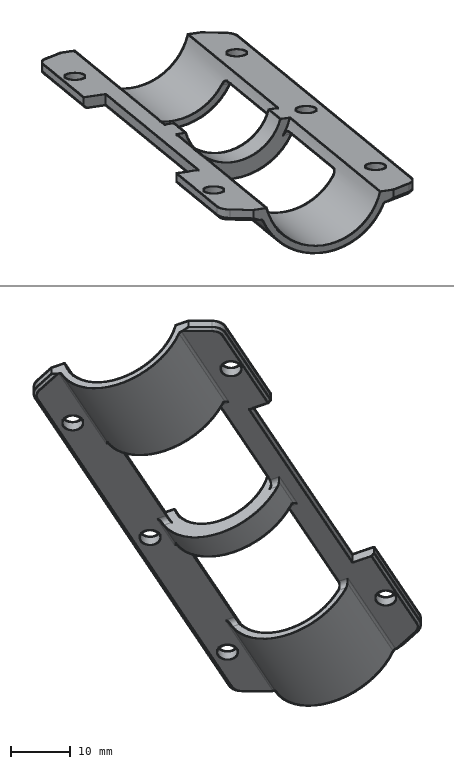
import cadquery as cq
import math

length = 83.0
width = 35.4
height = 9.5
flange_thickness = 2.0

outer_radius = 11.95
bore_radius = 10.6
axis_height = outer_radius - height

rib_width = 5.1
rib_bore_radius = 9.0
end_shell_length = 17.5
window_corner_radius = 1.0
root_fillet_radius = 0.5

corner_run = 2.4
corner_drop = 5.0
corner_radius = 2.5
bottom_chamfer = 0.5
notch_length = 40.0
notch_edge_y = -13.7

hole_diameter = 3.5
hole_spacing_x = 30.0
back_hole_y = 14.4
front_hole_y = -15.1


def cylinder_along_x(radius, cylinder_length):
    """Cylinder on the shell axis, centred at X = 0."""
    return (
        cq.Workplane("YZ")
        .center(0, axis_height)
        .circle(radius)
        .extrude(cylinder_length / 2, both=True)
    )


def make_flange():
    """Plate with sloped, rounded corners and a notch in its front edge."""
    plate = cq.Workplane("XY").box(length, width, flange_thickness, centered=(True, True, False))
    plate = plate.translate((0, 0, -flange_thickness))
    for side_x in (-1, 1):
        for side_y in (-1, 1):
            end_x = side_x * length / 2
            edge_y = side_y * width / 2
            corner = (
                cq.Workplane("XY")
                .moveTo(end_x, edge_y)
                .lineTo(end_x - side_x * corner_run, edge_y)
                .lineTo(end_x, edge_y - side_y * corner_drop)
                .close()
                .extrude(-flange_thickness)
            )
            plate = plate.cut(corner)
    plate = plate.edges("|Z").edges(">Y or <Y").fillet(corner_radius)
    outer_bottom_edges = plate.faces("<Z").edges("not(<X or >X)")
    plate = outer_bottom_edges.chamfer(bottom_chamfer)
    notch_depth = notch_edge_y + width / 2
    notch = (
        cq.Workplane("XY")
        .center(0, notch_edge_y - notch_depth / 2)
        .rect(notch_length, notch_depth)
        .extrude(-flange_thickness)
    )
    return plate.cut(notch)


def make_windows():
    """Openings below the flange between the rib and the end shells."""
    window_length = length / 2 - end_shell_length - rib_width / 2
    window_center_x = (rib_width + window_length) / 2
    window_width = 2 * (outer_radius + root_fillet_radius)
    window_height = height - flange_thickness
    window = (
        cq.Workplane("XY")
        .box(window_length, window_width, window_height)
        .edges("|Y and >Z")
        .fillet(window_corner_radius)
        .translate((0, 0, -flange_thickness - window_height / 2))
    )
    left_window = window.translate((-window_center_x, 0, 0))
    right_window = window.translate((window_center_x, 0, 0))
    return left_window.union(right_window)


def make_holes():
    """Three through holes along the back flange and two along the front."""
    centers = [(x, back_hole_y) for x in (-hole_spacing_x, 0, hole_spacing_x)]
    centers += [(x, front_hole_y) for x in (-hole_spacing_x, hole_spacing_x)]
    return (
        cq.Workplane("XY")
        .pushPoints(centers)
        .circle(hole_diameter / 2)
        .extrude(-flange_thickness)
    )


below_flange_top = cq.Workplane("XY").box(length, width, height, centered=(True, True, False))
below_flange_top = below_flange_top.translate((0, 0, -height))

shell = cylinder_along_x(outer_radius, length).intersect(below_flange_top)
body = make_flange().union(shell)

root_y = math.sqrt(outer_radius**2 - (axis_height + flange_thickness) ** 2)
selection_margin = 0.1
for side in (-1, 1):
    selection_box = cq.selectors.BoxSelector(
        (-length, side * root_y - selection_margin, -flange_thickness - selection_margin),
        (length, side * root_y + selection_margin, -flange_thickness + selection_margin),
    )
    body = body.edges("|X").edges(selection_box).fillet(root_fillet_radius)

body = body.cut(cylinder_along_x(bore_radius, length)).cut(make_windows())

rib = cylinder_along_x(outer_radius, rib_width).cut(cylinder_along_x(rib_bore_radius, rib_width))
rib = rib.intersect(below_flange_top)

result = body.union(rib).cut(make_holes())